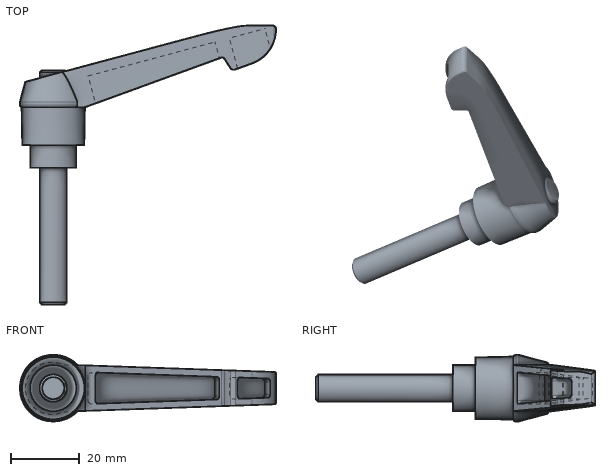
import cadquery as cq
import math

STUD_DIAMETER = 8.0
STUD_LENGTH = 40.0
STUD_TOP = 28.5
STUD_TIP_CHAMFER = 0.8
STUD_TOP_CHAMFER = 0.7

COLLAR_DIAMETER = 13.5
COLLAR_HEIGHT = 6.6

HUB_BOTTOM_RADIUS = 9.08
HUB_TOP_RADIUS = 9.28
HUB_TOP = 17.65

HEAD_RADIUS = 9.75
BAND_BOTTOM = 18.4
BAND_TOP = 19.2
HEAD_TAPER = math.radians(15)

TOP_SLOPE = math.radians(15)
TOP_AT_AXIS = 27.25
LEVER_TOP = 41.55
LEVER_TIP_X = 65.0
TOP_BEND_START_X = 42.7
TOP_BEND_SLOPE = math.radians(11)
TOP_BEND_RADIUS = 150.0
TIP_CORNER_RADIUS = 1.2

UNDERSIDE_SLOPE = math.radians(20)
UNDERSIDE_START_X = 9.3
NOTCH_X = 49.55
NOTCH_SLOPE = math.radians(57)
NOTCH_RADIUS = 0.7
HEEL_X = 52.15
HEEL_RADIUS = 1.2
TIP_ARC_START_X = 57.9

SIDE_TAPER = math.radians(2)
HALF_WIDTH_AT_AXIS = 7.0
TIP_EDGE_RADIUS = 0.7

POCKET_WALL = 2.05
POCKET_ROOF = 3.0
POCKET_CORNER_RADIUS = 1.0
GRIP_POCKET_X = (10.1, 47.1)
HEEL_POCKET_X = (51.3, 61.65)


def top_height(x):
    """Height of the sloping top plane at x."""
    return TOP_AT_AXIS + x * math.tan(TOP_SLOPE)


def half_width(x):
    """Half thickness of the lever at x."""
    return HALF_WIDTH_AT_AXIS - x * math.tan(SIDE_TAPER)


def slope_height(start, x, slope):
    """Height at x on a line through start with the given slope."""
    return start[1] + (x - start[0]) * math.tan(slope)


def round_bar(radius, bottom, top):
    """Cylinder on the stud axis."""
    return cq.Workplane("XZ", origin=(0, bottom, 0)).circle(radius).extrude(bottom - top)


UNDERSIDE_START = (UNDERSIDE_START_X, HUB_TOP)
NOTCH = (NOTCH_X, slope_height(UNDERSIDE_START, NOTCH_X, UNDERSIDE_SLOPE))
HEEL = (HEEL_X, slope_height(NOTCH, HEEL_X, -NOTCH_SLOPE))
TIP_ARC_START = (TIP_ARC_START_X, slope_height(HEEL, TIP_ARC_START_X, UNDERSIDE_SLOPE))


def make_stud():
    stud = round_bar(STUD_DIAMETER / 2, -STUD_LENGTH, STUD_TOP)
    stud = stud.faces("<Y").chamfer(STUD_TIP_CHAMFER)
    return stud.faces(">Y").chamfer(STUD_TOP_CHAMFER)


def make_hub():
    """Tapered hub with a rim band and a conical head, cut off by the sloping top plane."""
    cone_top = LEVER_TOP
    cone_top_radius = HEAD_RADIUS - (cone_top - BAND_TOP) * math.tan(HEAD_TAPER)
    hub = (
        cq.Workplane("XY")
        .moveTo(0, COLLAR_HEIGHT)
        .lineTo(0, cone_top)
        .lineTo(cone_top_radius, cone_top)
        .lineTo(HEAD_RADIUS, BAND_TOP)
        .lineTo(HEAD_RADIUS, BAND_BOTTOM)
        .tangentArcPoint((HUB_TOP_RADIUS, HUB_TOP), relative=False)
        .lineTo(HUB_BOTTOM_RADIUS, COLLAR_HEIGHT)
        .close()
        .revolve(360, (0, 0, 0), (0, 1, 0))
    )
    reach = 2 * HEAD_RADIUS
    above_everything = 2 * LEVER_TOP
    above_top = (
        cq.Workplane("XY")
        .moveTo(-reach, top_height(-reach))
        .lineTo(reach, top_height(reach))
        .lineTo(reach, above_everything)
        .lineTo(-reach, above_everything)
        .close()
        .extrude(reach, both=True)
    )
    return hub.cut(above_top)


def lever_profile():
    """Side outline of the lever, extruded wider than the lever."""
    tip_arc_radius = (LEVER_TIP_X - TIP_ARC_START_X) / (1 - math.sin(UNDERSIDE_SLOPE))
    tip_arc_end = (LEVER_TIP_X, TIP_ARC_START[1] + tip_arc_radius * math.cos(UNDERSIDE_SLOPE))
    bend_start = (TOP_BEND_START_X, top_height(TOP_BEND_START_X))
    bend_end = (
        bend_start[0] + TOP_BEND_RADIUS * (math.sin(TOP_SLOPE) - math.sin(TOP_BEND_SLOPE)),
        bend_start[1] + TOP_BEND_RADIUS * (math.cos(TOP_BEND_SLOPE) - math.cos(TOP_SLOPE)),
    )
    level_start_x = bend_end[0] + (LEVER_TOP - bend_end[1]) / math.tan(TOP_BEND_SLOPE / 2)
    blank = (
        cq.Workplane("XY")
        .moveTo(0, HUB_TOP)
        .lineTo(*UNDERSIDE_START)
        .lineTo(*NOTCH)
        .lineTo(*HEEL)
        .lineTo(*TIP_ARC_START)
        .tangentArcPoint(tip_arc_end, relative=False)
        .lineTo(LEVER_TIP_X, LEVER_TOP)
        .lineTo(level_start_x, LEVER_TOP)
        .tangentArcPoint(bend_end, relative=False)
        .tangentArcPoint(bend_start, relative=False)
        .lineTo(0, TOP_AT_AXIS)
        .close()
        .extrude(HEAD_RADIUS, both=True)
    )

    def edge_at(x, y):
        return cq.selectors.NearestToPointSelector((x, y, 0))

    blank = blank.edges(edge_at(LEVER_TIP_X, LEVER_TOP)).fillet(TIP_CORNER_RADIUS)
    blank = blank.edges(edge_at(*NOTCH)).fillet(NOTCH_RADIUS)
    return blank.edges(edge_at(*HEEL)).fillet(HEEL_RADIUS)


def lever_plan():
    """Tapered plan of the lever with rounded tip edges, taller than the lever."""
    tip = half_width(LEVER_TIP_X)
    plan = (
        cq.Workplane("XZ")
        .moveTo(0, -HALF_WIDTH_AT_AXIS)
        .lineTo(LEVER_TIP_X, -tip)
        .lineTo(LEVER_TIP_X, tip)
        .lineTo(0, HALF_WIDTH_AT_AXIS)
        .close()
        .extrude(-2 * LEVER_TOP)
    )
    return plan.faces(">X").edges("|Y").fillet(TIP_EDGE_RADIUS)


def pocket(x_range):
    """Tapered pocket open at the underside, its floor parallel to the sloping top plane."""
    start_x, end_x = x_range
    floor_drop = POCKET_ROOF / math.cos(TOP_SLOPE)
    floor_plane = cq.Plane(
        origin=(start_x, top_height(start_x) - floor_drop, 0),
        xDir=(math.cos(TOP_SLOPE), math.sin(TOP_SLOPE), 0),
        normal=(math.sin(TOP_SLOPE), -math.cos(TOP_SLOPE), 0),
    )
    length = (end_x - start_x) / math.cos(TOP_SLOPE)
    start_half = half_width(start_x) - POCKET_WALL
    end_half = half_width(end_x) - POCKET_WALL
    prism = (
        cq.Workplane(floor_plane)
        .moveTo(0, -start_half)
        .lineTo(length, -end_half)
        .lineTo(length, end_half)
        .lineTo(0, start_half)
        .close()
        .extrude(LEVER_TOP)
    )
    upright_edges = cq.selectors.ParallelDirSelector(floor_plane.zDir)
    return prism.edges(upright_edges).fillet(POCKET_CORNER_RADIUS)


def make_lever():
    lever = lever_profile().intersect(lever_plan())
    for x_range in (GRIP_POCKET_X, HEEL_POCKET_X):
        lever = lever.cut(pocket(x_range))
    return lever


collar = round_bar(COLLAR_DIAMETER / 2, 0, COLLAR_HEIGHT)
result = make_hub().union(make_lever()).union(collar).union(make_stud())